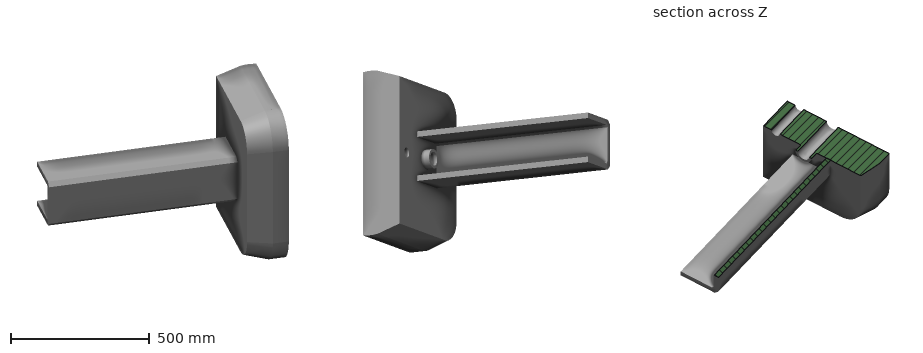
import cadquery as cq

overall_length = 852.0

head_width = 450.0
head_depth = 150.0
rear_depth = 60.0
rear_half_height = 300.0
rear_corner_radius = 111.0
front_width = 428.5
front_half_height = 271.0
front_corner_radius = 89.5
crown_rise = 2.5
crown_end_rise = 0.2

small_hole_x = 54.5
small_hole_diameter = 36.0
boss_x = 199.0
boss_diameter = 71.0
boss_length = 31.5
bore_diameter = 50.0

channel_left = 130.0
channel_right = 296.0
channel_half_height = 91.0
channel_wall = 20.5
outer_chamfer = 15.0
inner_chamfer = 8.0
channel_length = overall_length - head_depth


def plane_at(depth):
    """XZ plane at a distance in front of the head's back face, with its normal toward -Y."""
    return cq.Workplane("XZ", origin=(0, -depth, 0))


def head_outline(depth, width, half_height, radius):
    """D-shaped outline: square corners at X = 0, rounded corners at the far side."""
    diagonal = radius * 0.5 ** 0.5
    center_x = width - radius
    center_z = half_height - radius
    return (
        plane_at(depth)
        .moveTo(0, -half_height)
        .lineTo(center_x, -half_height)
        .threePointArc((center_x + diagonal, -center_z - diagonal), (width, -center_z))
        .lineTo(width, center_z)
        .threePointArc((center_x + diagonal, center_z + diagonal), (center_x, half_height))
        .lineTo(0, half_height)
        .close()
    )


def crown_section(x, rise):
    """Arc segment standing on the upper side of the rear band."""
    return (
        cq.Workplane("YZ", origin=(x, 0, 0))
        .moveTo(0, rear_half_height)
        .threePointArc((-rear_depth / 2, rear_half_height + rise), (-rear_depth, rear_half_height))
        .close()
        .wires()
        .val()
    )


def make_crown():
    """Shallow bulge that fades out from the flat end toward the rounded corner."""
    sections = [
        crown_section(0, crown_rise),
        crown_section(head_width - rear_corner_radius, crown_end_rise),
    ]
    return cq.Workplane(cq.Solid.makeLoft(sections, True))


def make_head():
    rear_outline = (rear_half_height, rear_corner_radius)
    rear_band = head_outline(0, head_width, *rear_outline).extrude(rear_depth)
    taper_sections = [
        head_outline(rear_depth, head_width, *rear_outline).val(),
        head_outline(head_depth, front_width, front_half_height, front_corner_radius).val(),
    ]
    taper = cq.Workplane(cq.Solid.makeLoft(taper_sections, True))
    crown = make_crown()
    boss = plane_at(head_depth).center(boss_x, 0).circle(boss_diameter / 2).extrude(boss_length)
    bore = plane_at(0).center(boss_x, 0).circle(bore_diameter / 2).extrude(head_depth + boss_length)
    small_hole = plane_at(0).center(small_hole_x, 0).circle(small_hole_diameter / 2).extrude(head_depth)
    body = rear_band.union(taper).union(crown).union(crown.mirror("XY")).union(boss)
    return body.cut(bore).cut(small_hole)


def channel_block(right, half_height, chamfer):
    """Full-length block from the open side, with its two right-hand edges chamfered."""
    return (
        plane_at(head_depth)
        .moveTo(channel_left, -half_height)
        .lineTo(right - chamfer, -half_height)
        .lineTo(right, -half_height + chamfer)
        .lineTo(right, half_height - chamfer)
        .lineTo(right - chamfer, half_height)
        .lineTo(channel_left, half_height)
        .close()
        .extrude(channel_length)
    )


def make_channel():
    """C-shaped beam, open toward -X, butted against the head's front face."""
    outside = channel_block(channel_right, channel_half_height, outer_chamfer)
    inside = channel_block(
        channel_right - channel_wall, channel_half_height - channel_wall, inner_chamfer
    )
    return outside.cut(inside)


head = make_head()
channel = make_channel()

result = cq.Compound.makeCompound([head.solids().val(), channel.solids().val()])